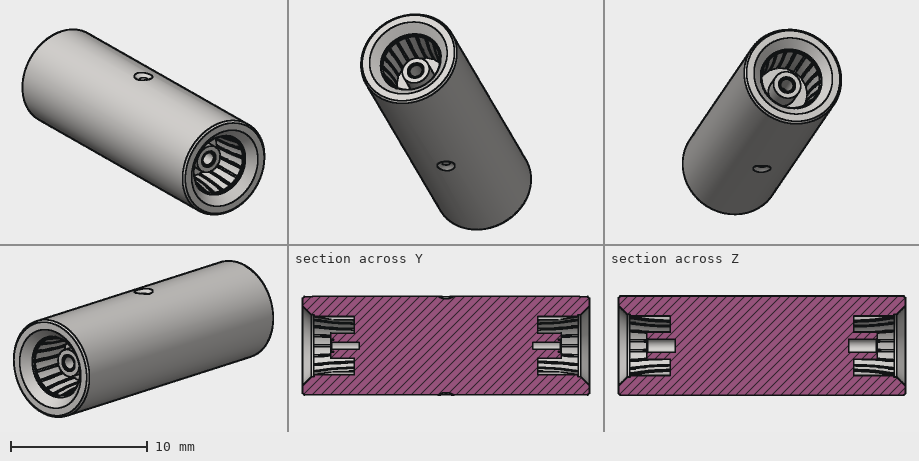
import cadquery as cq
import math

length = 21.0
outer_diameter = 7.29
edge_chamfer = 0.15
half_length = length / 2
outer_radius = outer_diameter / 2

mouth_diameter = 5.88
bore_diameter = 4.58
finger_tip_diameter = 4.33
throat_diameter = 3.74
bore_depth = 0.19
finger_length = 2.95
mouth_radius = mouth_diameter / 2
bore_radius = bore_diameter / 2
finger_tip_radius = finger_tip_diameter / 2
throat_radius = throat_diameter / 2
cone_depth = mouth_radius - bore_radius
finger_tip_depth = cone_depth + bore_depth
socket_depth = finger_tip_depth + finger_length

finger_count = 18
slot_width = 0.15

boss_diameter = 2.04
boss_face_depth = 2.05
groove_outer_diameter = 1.24
groove_inner_diameter = 1.2
groove_depth = 0.2
contact_mouth_diameter = 1.1
contact_diameter = 0.95
contact_depth = 2.1
boss_height = socket_depth - boss_face_depth

dimple_mouth_diameter = 1.43
dimple_floor_diameter = 0.59
dimple_depth = 0.25


def plane_at_depth(depth):
    """Cross-section plane at a depth inside the -X end; its normal points into the part."""
    return cq.Workplane("YZ", origin=(depth - half_length, 0, 0))


def make_sleeve():
    sleeve = plane_at_depth(0).circle(outer_radius).extrude(length)
    return sleeve.faces("<X or >X").edges().chamfer(edge_chamfer)


def make_socket_bore():
    """Turned cavity of the -X socket; the finger arc runs parallel to the axis at the throat."""
    face_x = -half_length
    tip_x = face_x + finger_tip_depth
    floor_x = face_x + socket_depth
    closing = finger_tip_radius - throat_radius
    arc_radius = (finger_length**2 + closing**2) / (2 * closing)
    half_angle = math.asin(finger_length / arc_radius) / 2
    arc_middle = (
        floor_x - arc_radius * math.sin(half_angle),
        throat_radius + arc_radius * (1 - math.cos(half_angle)),
    )
    profile = (
        cq.Workplane("XY")
        .moveTo(face_x, 0)
        .lineTo(face_x, mouth_radius)
        .lineTo(face_x + cone_depth, bore_radius)
        .lineTo(tip_x, bore_radius)
        .lineTo(tip_x, finger_tip_radius)
        .threePointArc(arc_middle, (floor_x, throat_radius))
        .lineTo(floor_x, 0)
        .close()
    )
    return profile.revolve(360, (0, 0, 0), (1, 0, 0))


def make_finger_slots():
    """Evenly spaced radial slots, from inside the throat out to the finger tip diameter."""
    inner_radius = throat_radius - slot_width
    tip_plane = plane_at_depth(finger_tip_depth)
    finger_ring = tip_plane.circle(finger_tip_radius).circle(inner_radius).extrude(finger_length)
    blade_height = 2 * (bore_radius - inner_radius)
    blades = tip_plane.polarArray(finger_tip_radius, 0, 360, finger_count)
    blades = blades.rect(blade_height, slot_width).extrude(finger_length)
    return finger_ring.intersect(blades)


def make_boss():
    return plane_at_depth(boss_face_depth).circle(boss_diameter / 2).extrude(boss_height)


def make_contact_groove():
    groove = plane_at_depth(boss_face_depth).circle(groove_outer_diameter / 2)
    return groove.circle(groove_inner_diameter / 2).extrude(groove_depth)


def make_contact_hole():
    """Blind hole in the contact with a 45 degree countersink."""
    countersink_radius = contact_mouth_diameter / 2
    hole_radius = contact_diameter / 2
    boss_face = plane_at_depth(boss_face_depth)
    hole = boss_face.circle(hole_radius).extrude(contact_depth)
    countersink = boss_face.circle(countersink_radius)
    countersink = countersink.workplane(offset=countersink_radius - hole_radius).circle(hole_radius).loft()
    return hole.union(countersink)


def make_dimple():
    """Ball-shaped cutter with a flat end, placed on the +Z side."""
    rim_radius = dimple_mouth_diameter / 2
    floor_radius = dimple_floor_diameter / 2
    ball_height = (rim_radius**2 - floor_radius**2 + dimple_depth**2) / (2 * dimple_depth)
    ball_radius = math.hypot(floor_radius, ball_height)
    floor_z = outer_radius - dimple_depth
    ball = cq.Workplane("XY", origin=(0, 0, floor_z + ball_height)).sphere(ball_radius)
    above_floor = cq.Workplane("XY", origin=(0, 0, floor_z)).circle(ball_radius).extrude(2 * ball_radius)
    return ball.intersect(above_floor)


socket_cavity = make_socket_bore().union(make_finger_slots()).cut(make_boss())
socket_cavity = socket_cavity.union(make_contact_groove()).union(make_contact_hole())
dimple = make_dimple()

result = make_sleeve()
result = result.cut(socket_cavity).cut(socket_cavity.mirror("YZ"))
result = result.cut(dimple).cut(dimple.mirror("XY"))